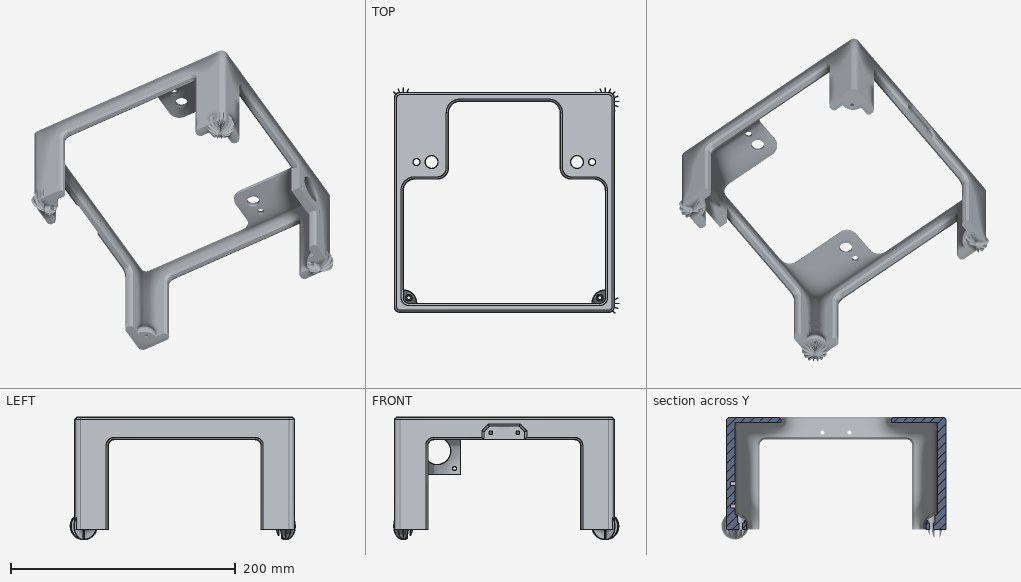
import cadquery as cq
import math

overall_width = 200.5
frame_height = 100.0
wall = 8.0
plate = 5.0
edge_chamfer = 2.0
corner_radius = 5.0
screw_diameter = 3.5
margin = 0.2

ball_radius = 12.0
ball_inset = wall
ball_height = 3.0
fin_thickness = 0.2
fin_step = 22.5
foot_hole_inset = 13.0
foot_bore_diameter = 6.0
foot_bore_floor = 6.0

straight_reach = ball_radius - ball_inset
diagonal_reach = (ball_radius * math.sqrt(2) + fin_thickness / math.sqrt(2)) / 2 - ball_inset
frame_width = overall_width - straight_reach - diagonal_reach
half = frame_width / 2

step_depth = 118.7
narrow_half_width = 49.7
opening_radius = 10.0

leg_width = 30.0
arch_drop = 20.0
arch_radius = 5.0

plate_hole_y = 134.0 - half
large_hole_x = 64.7
large_hole_diameter = 11.2
small_hole_x = 78.2
small_hole_diameter = 6.0

badge_half_width = 20.0
badge_drop = 6.0
badge_corner = 6.0
badge_hole_x = 12.0
badge_hole_drop = 13.8

motor_x = 38.0 - half
motor_z = frame_height - 30.0
motor_half = 21.0
motor_bore = 24.0
motor_screw_pitch = 31.0

wall_hole_inset = 14.0
wall_hole_heights = (21.0, 41.0)
wall_hole_depth = 4.0


def rounded_block(width, height):
    """Square block standing on the leg-end plane, with rounded vertical corners."""
    block = cq.Workplane("XY").rect(width, width).extrude(height)
    return block.edges("|Z").fillet(corner_radius)


def make_shell():
    """Open-bottomed box with rounded corners and a T-shaped opening in the top."""
    inner_width = frame_width - 2 * wall
    inner_half = inner_width / 2
    step_y = step_depth - half
    opening = (
        cq.Workplane("XY")
        .moveTo(-inner_half, -inner_half)
        .lineTo(inner_half, -inner_half)
        .lineTo(inner_half, step_y)
        .lineTo(narrow_half_width, step_y)
        .lineTo(narrow_half_width, inner_half)
        .lineTo(-narrow_half_width, inner_half)
        .lineTo(-narrow_half_width, step_y)
        .lineTo(-inner_half, step_y)
        .close()
        .extrude(frame_height)
    )
    opening = opening.faces("<Y").edges("|Z").fillet(corner_radius)
    step_and_back = cq.selectors.BoxSelector(
        (-half, step_y - margin, 0), (half, half, frame_height)
    )
    opening = opening.edges("|Z").edges(step_and_back).fillet(opening_radius)
    shell = rounded_block(frame_width, frame_height)
    shell = shell.cut(rounded_block(inner_width, frame_height - plate)).cut(opening)
    return shell.faces(">Z").edges().chamfer(edge_chamfer)


def cut_arches(body):
    """One arch through each wall, bevelled at the outer and inner wall faces."""
    arch_half = half - leg_width
    crown = frame_height - arch_drop
    arch = cq.Workplane("XY").box(2 * arch_half, frame_width, 2 * crown)
    arch = arch.edges("|Y and >Z").fillet(arch_radius)
    body = body.cut(arch).cut(arch.rotate((0, 0, 0), (0, 0, 1), 90))
    for _ in range(4):
        for face_y in (-half, wall - half):
            arch_edges = cq.selectors.BoxSelector(
                (-arch_half - margin, face_y - margin, -margin),
                (arch_half + margin, face_y + margin, crown + margin),
            )
            body = body.edges(arch_edges).chamfer(edge_chamfer)
        body = body.rotate((0, 0, 0), (0, 0, 1), 90)
    return body


def make_motor_tab():
    """Square plate hanging from the back wall beside the back left leg."""
    tab = cq.Workplane("XY").box(2 * motor_half, wall, 2 * motor_half)
    return tab.translate((motor_x, half - wall / 2, motor_z))


def cut_motor_holes(body):
    """Large bore and four screw holes through the back wall and its tab."""
    centre = cq.Workplane("XZ", origin=(motor_x, half, motor_z))
    bore = centre.circle(motor_bore / 2).extrude(wall)
    screws = centre.rect(motor_screw_pitch, motor_screw_pitch, forConstruction=True).vertices()
    return body.cut(bore).cut(screws.circle(screw_diameter / 2).extrude(wall))


def cut_badge(body):
    """Shallow recess with bevelled sides, open downwards, and two screw holes."""
    top = frame_height - badge_drop
    bottom = frame_height - arch_drop - 2 * edge_chamfer
    shoulder = badge_half_width - badge_corner
    recess = (
        cq.Workplane("XZ", origin=(0, -half, 0))
        .moveTo(-badge_half_width, bottom)
        .lineTo(-badge_half_width, top - badge_corner)
        .lineTo(-shoulder, top)
        .lineTo(shoulder, top)
        .lineTo(badge_half_width, top - badge_corner)
        .lineTo(badge_half_width, bottom)
        .close()
        .extrude(-edge_chamfer, taper=45)
    )
    holes = (
        cq.Workplane("XZ", origin=(0, -half, frame_height - badge_hole_drop))
        .pushPoints([(-badge_hole_x, 0), (badge_hole_x, 0)])
        .circle(screw_diameter / 2)
        .extrude(-wall)
    )
    return body.cut(recess).cut(holes)


def cut_plate_holes(body):
    """Two pairs of through holes in the wide parts of the top plate."""
    for x, diameter in ((large_hole_x, large_hole_diameter), (small_hole_x, small_hole_diameter)):
        holes = cq.Workplane("XY", origin=(0, plate_hole_y, frame_height - plate))
        body = body.cut(holes.pushPoints([(-x, 0), (x, 0)]).circle(diameter / 2).extrude(plate))
    return body


def make_foot(side_x, side_y, fin_angles):
    """Dome filling one inside corner, plus upright round fins through the ball centre."""
    centre = (side_x * (half - ball_inset), side_y * (half - ball_inset), ball_height)
    envelope = rounded_block(frame_width, frame_height)
    for angle in fin_angles:
        slab = cq.Workplane("XY").box(3 * ball_radius, fin_thickness, 3 * ball_radius)
        envelope = envelope.union(slab.rotate((0, 0, 0), (0, 0, 1), angle).translate(centre))
    return cq.Workplane("XY").sphere(ball_radius).translate(centre).intersect(envelope)


def cut_foot_hole(body, side_x, side_y):
    """Vertical screw hole with a counterbore from above."""
    x = side_x * (half - foot_hole_inset)
    y = side_y * (half - foot_hole_inset)
    hole = cq.Workplane("XY", origin=(x, y, -ball_radius)).circle(screw_diameter / 2)
    bore = cq.Workplane("XY", origin=(x, y, foot_bore_floor)).circle(foot_bore_diameter / 2)
    return body.cut(hole.extrude(2 * ball_radius)).cut(bore.extrude(ball_radius))


def cut_wall_holes(body):
    """Blind holes in the inner faces beside the back right corner."""
    inner = half - wall
    across = half - wall_hole_inset
    for z in wall_hole_heights:
        back = cq.Workplane("XZ", origin=(across, inner - corner_radius, z))
        side = cq.Workplane("YZ", origin=(inner - corner_radius, across, z))
        depth = corner_radius + wall_hole_depth
        body = body.cut(back.circle(screw_diameter / 2).extrude(-depth))
        body = body.cut(side.circle(screw_diameter / 2).extrude(depth))
    return body


body = cut_arches(make_shell())
body = cut_motor_holes(body.union(make_motor_tab()))
body = cut_plate_holes(cut_badge(body))

x_fins = [step * fin_step for step in range(-2, 2)]
y_fins = [90 - angle for angle in x_fins]
all_fins = [step * fin_step for step in range(8)]
feet = (
    (-1, -1, []),
    (1, -1, x_fins),
    (-1, 1, y_fins),
    (1, 1, all_fins),
)
for side_x, side_y, fin_angles in feet:
    body = body.union(make_foot(side_x, side_y, fin_angles))
    body = cut_foot_hole(body, side_x, side_y)

result = cut_wall_holes(body)